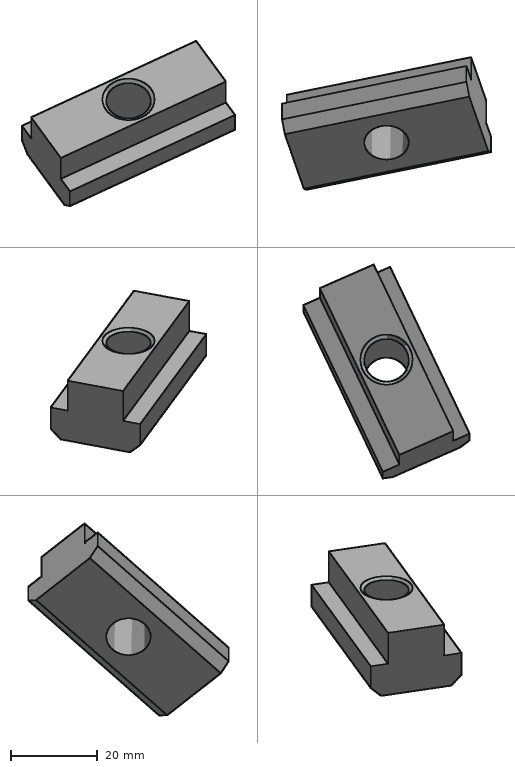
import cadquery as cq

length = 44.0
base_width = 22.0
neck_width = 13.65
height = 16.0
base_height = 8.05
edge_chamfer_width = 2.5
edge_chamfer_height = 2.4
hole_diameter = 10.2
countersink_diameter = 12.0
countersink_angle = 120.0


def t_profile_bar():
    """T-shaped bar centred on X and Y, standing on Z = 0."""
    half_base = base_width / 2
    half_neck = neck_width / 2
    right_half = [
        (half_base - edge_chamfer_width, 0),
        (half_base, edge_chamfer_height),
        (half_base, base_height),
        (half_neck, base_height),
        (half_neck, height),
    ]
    left_half = [(-x, z) for x, z in reversed(right_half)]
    profile = cq.Workplane("XZ").polyline(right_half + left_half).close()
    return profile.extrude(length / 2, both=True)


def add_countersunk_hole(bar):
    """Through hole in the middle of the top face, with a conical lead-in."""
    top_centre = bar.faces(">Z").workplane(origin=(0, 0, height))
    return top_centre.cskHole(hole_diameter, countersink_diameter, countersink_angle)


result = add_countersunk_hole(t_profile_bar())